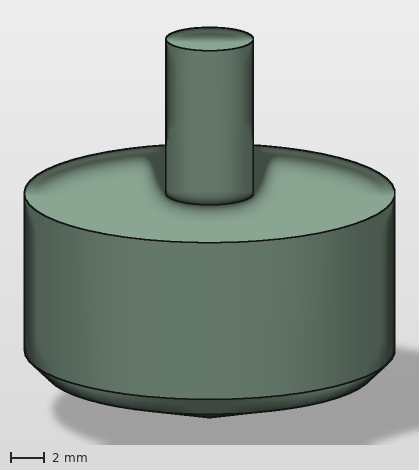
import cadquery as cq

total_height = 23.3
body_diameter = 22.0
pin_diameter = 5.2
pin_length = 9.48
chamfer_size = 1.25
cone_height = 2.91

body_radius = body_diameter / 2
pin_radius = pin_diameter / 2
cone_radius = body_radius - chamfer_size
body_bottom = cone_height + chamfer_size
body_top = total_height - pin_length

half_profile = (
    cq.Workplane("XZ")
    .moveTo(0, 0)
    .lineTo(cone_radius, cone_height)
    .lineTo(body_radius, body_bottom)
    .lineTo(body_radius, body_top)
    .lineTo(pin_radius, body_top)
    .lineTo(pin_radius, total_height)
    .lineTo(0, total_height)
    .close()
)

result = half_profile.revolve(360, (0, 0, 0), (0, 1, 0))